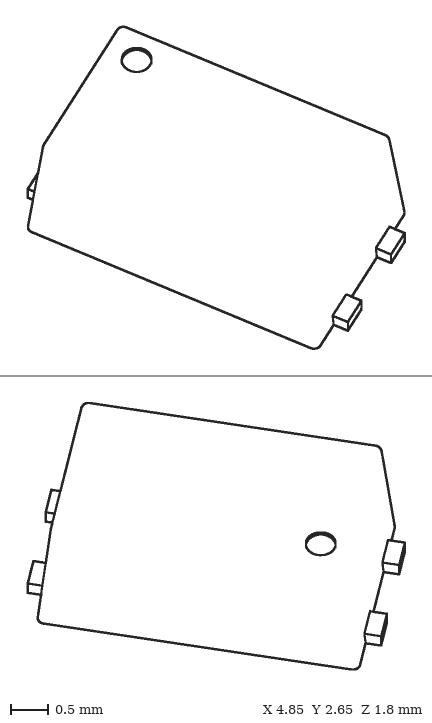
import cadquery as cq

overall_length = 4.85
body_length = 4.425
body_width = 2.65
body_height = 1.8
draft_angle = 5.0
edge_radius = 0.1

lead_width = 0.403
lead_height = 0.2
lead_pitch = 1.27

marker_diameter = 0.403
marker_depth = 0.05
marker_x = -1.57
marker_y = 0.71


def make_body():
    """Drafted block with rounded corner and top edges."""
    block = cq.Workplane("XY").rect(body_length, body_width).extrude(body_height, taper=draft_angle)
    return block.edges("not <Z").fillet(edge_radius)


def make_leads():
    """Two bars through the body, each forming a terminal at both ends."""
    return (
        cq.Workplane("XY")
        .pushPoints([(0, -lead_pitch / 2), (0, lead_pitch / 2)])
        .rect(overall_length, lead_width)
        .extrude(lead_height)
    )


def make_marker():
    """Cylinder that cuts the pin-one recess."""
    return (
        cq.Workplane("XY", origin=(marker_x, marker_y, body_height))
        .circle(marker_diameter / 2)
        .extrude(-marker_depth)
    )


result = make_body().union(make_leads()).cut(make_marker())